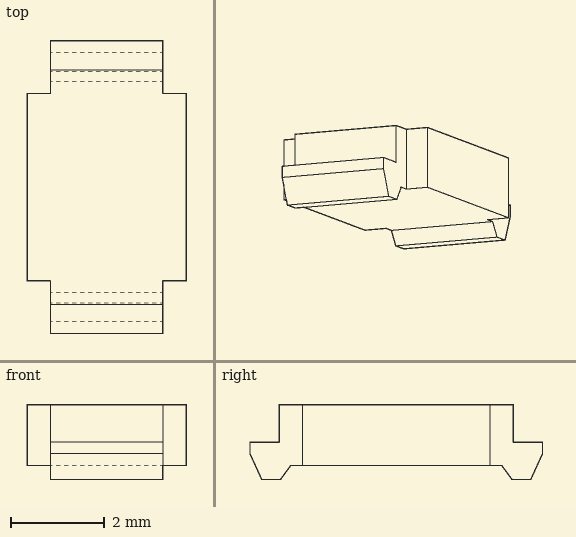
import cadquery as cq

body_width = 3.4
total_length = 6.25
total_height = 1.6

wide_length = 4.0
narrow_length = 5.0
narrow_width = 2.4
body_underside = 0.3

foot_top = 0.8
foot_chamfer_top = 0.558
foot_chamfer_run = 0.255
foot_sole_length = 0.4
foot_inner_run = 0.22


def make_block(width, length):
    """Block centred in X and Y, from the body underside to the top."""
    height = total_height - body_underside
    block = cq.Workplane("XY").box(width, length, height, centered=(True, True, False))
    return block.translate((0, 0, body_underside))


def make_foot():
    """Foot at the +Y end: a YZ outline extruded across X."""
    tip = total_length / 2
    sole_outer = tip - foot_chamfer_run
    sole_inner = sole_outer - foot_sole_length
    heel = sole_inner - foot_inner_run
    outline = [
        (heel, foot_top),
        (tip, foot_top),
        (tip, foot_chamfer_top),
        (sole_outer, 0),
        (sole_inner, 0),
        (heel, body_underside),
    ]
    return cq.Workplane("YZ").polyline(outline).close().extrude(narrow_width / 2, both=True)


body = make_block(body_width, wide_length).union(make_block(narrow_width, narrow_length))
foot = make_foot()
result = body.union(foot).union(foot.mirror("XZ"))